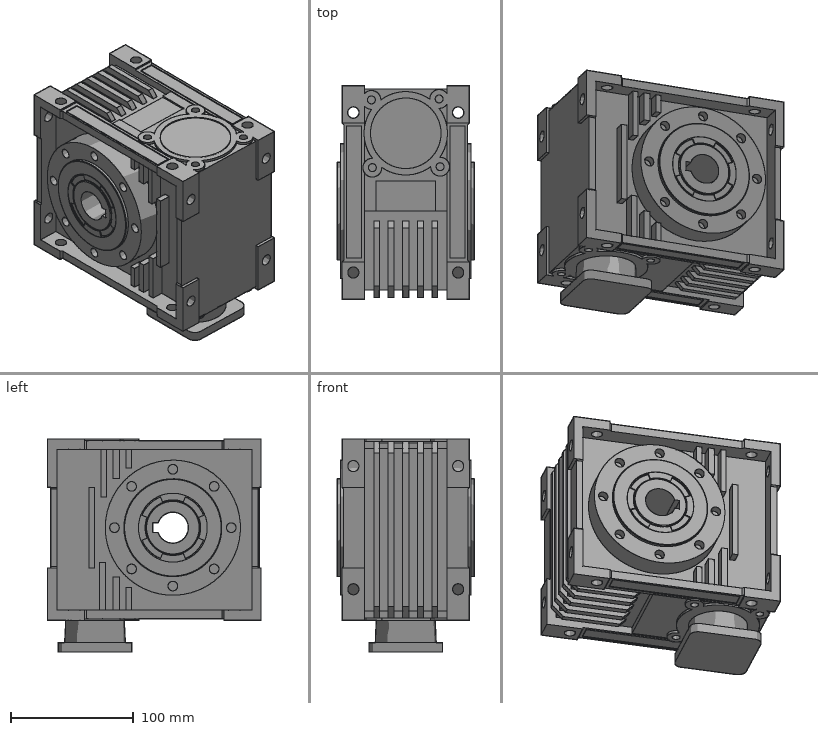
import cadquery as cq
import math


DIAGONALS = (45, 135, 225, 315)

FRONT_Y = -71.9
BACK_Y = 102.1
TOP_Z = 72.2
HOUSING_HEIGHT = 147.7
MID_Z = TOP_Z - HOUSING_HEIGHT / 2
FOOT_X = 51.9
FRAME_INNER_X = 33.4

RAIL_DROP_Z = 1.4
RAIL_DROP_Y = 2.6
FOOT_LENGTH = 30.5
FOOT_GAP_HALF_Z = 32.7
LEVEL_RAIL_RELIEF = 1.5
UPRIGHT_RAIL_RELIEF = 1.0
POCKET_FLOOR_X = 34.6
POCKET_FRONT_Y = -64.2
POCKET_BACK_Y = 94.1
POCKET_HALF_HEIGHT = 65.5
PANEL_INNER_X = 36.2
PANEL_OUTER_X = 48.2
PANEL_FRONT_Y = -38.0
PANEL_BACK_Y = 69.0
PANEL_DEPTH = 0.7
FOOT_HOLE_DIAMETER = 9.0
FOOT_HOLE_X = 42.6
LEVEL_HOLE_YS = (-50.0, 80.2)
UPRIGHT_HOLE_Z = 50.1

CORE_FRONT_Y = -64.2
CORE_BACK_Y = BACK_Y - RAIL_DROP_Y
CORE_DROP_Z = 2.1
CORE_HALF_HEIGHT = HOUSING_HEIGHT / 2 - CORE_DROP_Z
FIN_STEP_DEPTH = 5.5
FIN_DECK_HALF_HEIGHT = CORE_HALF_HEIGHT - FIN_STEP_DEPTH
PLATE_SEAT_HALF_WIDTH = 24.4
PLATE_SEAT_LENGTH = 24.7
PLATE_SEAT_DEPTH = 1.4

FIN_FRONT_Y = -70.5
FIN_BACK_Y = -8.2
FIN_BEVEL = 9.4
FINS = ((0, 5.0), (12.0, 5.0), (23.7, 4.4))

INPUT_Y = 63.3
RING_RADIUS = 34.0
RING_RECESS_RADIUS = 28.7
RING_RECESS_DEPTH = 0.9
LUG_CIRCLE_RADIUS = 39.0
LUG_TILT = 0.8
LUG_RADIUS = 7.7
LUG_HOLE_DIAMETER = 6.5
LUG_HOLE_DEPTH = 14.0

NECK_TOP_RADIUS = 24.0
NECK_BOTTOM_RADIUS = 24.9
PLATE_SIZE = 60.0
PLATE_CORNER_RADIUS = 7.1
PLATE_THICKNESS = 7.8
OVERALL_HEIGHT = 173.5
PLATE_BOTTOM_Z = TOP_Z - OVERALL_HEIGHT

DISC_RADIUS = 55.0
DISC_X = 53.2
HUB_RADIUS = 39.8
HUB_X = 56.0
HUB_CHAMFER = 0.5
BOLT_COUNT = 8
BOLT_CIRCLE_RADIUS = 47.5
BOLT_DIAMETER = 7.8
BOLT_DEPTH = 7.0
SEAL_OUTER_RADIUS = 28.0
SHAFT_RADIUS = 22.1
SHAFT_CLEARANCE = 0.5
SHAFT_CHAMFER = 0.7
SEAL_DEPTH = 0.3
SEAL_POCKET_RADIUS = 27.0
SEAL_POCKET_DEPTH = 1.0
SEAL_POCKET_ANGLE = 46
BORE_DIAMETER = 25.0
KEYWAY_WIDTH = 7.8
KEYWAY_REACH = 16.2

RIB_HEIGHT = 9.7
MIDDLE_RIB = (63.7, 68.4)
UPPER_RIBS = ((54.0, 58.3, 24.9), (43.3, 48.5, 39.8), (33.5, 38.0, 48.7))
LOWER_RIBS = ((54.6, 59.7, -28.4), (43.3, 48.5, -40.2), (33.5, 38.0, -48.7))


def block(x_range, y_range, z_range):
    """Box between the given limits."""
    lows, highs = zip(*(sorted(r) for r in (x_range, y_range, z_range)))
    sizes = [high - low for low, high in zip(lows, highs)]
    return cq.Workplane("XY").box(*sizes, centered=False).translate(lows)


def x_cylinder(radius, x_start, x_end):
    """Cylinder on the output shaft axis."""
    return cq.Workplane("YZ", origin=(x_start, 0, 0)).circle(radius).extrude(x_end - x_start)


def mid_z_range(half_height):
    """Height limits centred on the middle of the housing."""
    return (MID_Z - half_height, MID_Z + half_height)


def mirrored_low(shape):
    """Copy of a shape reflected through the housing's middle height."""
    return shape.mirror("XY", (0, 0, MID_Z))


def make_core():
    """Solid middle body, lowered at the front to make room for the fins."""
    half_x = (-FRAME_INNER_X, FRAME_INNER_X)
    rear = block(half_x, (0, CORE_BACK_Y), mid_z_range(CORE_HALF_HEIGHT))
    front = block(half_x, (CORE_FRONT_Y, 0), mid_z_range(FIN_DECK_HALF_HEIGHT))
    core_top = MID_Z + CORE_HALF_HEIGHT
    seat = block(
        (-PLATE_SEAT_HALF_WIDTH, PLATE_SEAT_HALF_WIDTH),
        (0, PLATE_SEAT_LENGTH),
        (core_top - PLATE_SEAT_DEPTH, core_top),
    )
    return rear.union(front).cut(seat)


def make_fins():
    """C-shaped fins wrapping over the top, front and bottom of the core."""
    upper = [
        (FIN_BACK_Y, FIN_DECK_HALF_HEIGHT),
        (FIN_BACK_Y - FIN_STEP_DEPTH, CORE_HALF_HEIGHT),
        (FIN_FRONT_Y + FIN_BEVEL, CORE_HALF_HEIGHT),
        (FIN_FRONT_Y, CORE_HALF_HEIGHT - FIN_BEVEL),
    ]
    lower = [(y, -z) for y, z in reversed(upper)]
    fins = cq.Workplane("XY")
    for offset, thickness in FINS:
        for x in sorted({-offset, offset}):
            profile = cq.Workplane("YZ", origin=(x, 0, MID_Z)).polyline(upper + lower).close()
            fins = fins.union(profile.extrude(thickness / 2, both=True))
    return fins


def relief(plane, start, end, depth):
    """Cutter that thins a rail between two feet, sloping at 45 degrees into each foot."""
    profile = [
        (FOOT_X, start),
        (FOOT_X - depth, start + depth),
        (FOOT_X - depth, end - depth),
        (FOOT_X, end),
    ]
    return cq.Workplane(plane).polyline(profile).close().extrude(HOUSING_HEIGHT, both=True)


def make_frame():
    """Side frame on the +X side: four rails with corner feet around a pocket."""
    bottom_z = TOP_Z - HOUSING_HEIGHT
    front_foot_end = FRONT_Y + FOOT_LENGTH
    back_foot_start = BACK_Y - FOOT_LENGTH
    frame_x = (FRAME_INNER_X, FOOT_X)

    frame = block(
        frame_x,
        (FRONT_Y + RAIL_DROP_Y, BACK_Y - RAIL_DROP_Y),
        (bottom_z + RAIL_DROP_Z, TOP_Z - RAIL_DROP_Z),
    )
    for y_range in ((FRONT_Y, front_foot_end), (back_foot_start, BACK_Y)):
        for z_range in ((FOOT_GAP_HALF_Z, TOP_Z), (bottom_z, -FOOT_GAP_HALF_Z)):
            frame = frame.union(block(frame_x, y_range, z_range))

    frame = frame.cut(relief("XY", front_foot_end, back_foot_start, LEVEL_RAIL_RELIEF))
    frame = frame.cut(relief("XZ", -FOOT_GAP_HALF_Z, FOOT_GAP_HALF_Z, UPRIGHT_RAIL_RELIEF))
    pocket_y = (POCKET_FRONT_Y, POCKET_BACK_Y)
    frame = frame.cut(block((POCKET_FLOOR_X, FOOT_X), pocket_y, mid_z_range(POCKET_HALF_HEIGHT)))

    rail_top = TOP_Z - RAIL_DROP_Z
    panel = block(
        (PANEL_INNER_X, PANEL_OUTER_X),
        (PANEL_FRONT_Y, PANEL_BACK_Y),
        (rail_top - PANEL_DEPTH, rail_top),
    )
    frame = frame.cut(panel).cut(mirrored_low(panel))

    level_holes = (
        cq.Workplane("XY", origin=(0, 0, bottom_z))
        .pushPoints([(FOOT_HOLE_X, y) for y in LEVEL_HOLE_YS])
        .circle(FOOT_HOLE_DIAMETER / 2)
        .extrude(HOUSING_HEIGHT)
    )
    upright_holes = (
        cq.Workplane("XZ", origin=(0, BACK_Y, 0))
        .pushPoints([(FOOT_HOLE_X, z) for z in (-UPRIGHT_HOLE_Z, UPRIGHT_HOLE_Z)])
        .circle(FOOT_HOLE_DIAMETER / 2)
        .extrude(BACK_Y - FRONT_Y)
    )
    return frame.cut(level_holes).cut(upright_holes)


def make_ribs():
    """Stiffening ribs standing on the floor of the +X pocket."""
    rib_x = (FRAME_INNER_X, POCKET_FLOOR_X + RIB_HEIGHT)
    low_z, high_z = mid_z_range(POCKET_HALF_HEIGHT)
    ribs = block(rib_x, MIDDLE_RIB, (-FOOT_GAP_HALF_Z, FOOT_GAP_HALF_Z))
    for wall_z, group in ((high_z, UPPER_RIBS), (low_z, LOWER_RIBS)):
        for y_start, y_end, free_z in group:
            ribs = ribs.union(block(rib_x, (y_start, y_end), (free_z, wall_z)))
    return ribs


def make_shaft_end():
    """Chamfered end of the output shaft, level with the hub."""
    return x_cylinder(SHAFT_RADIUS, FRAME_INNER_X, HUB_X).faces(">X").chamfer(SHAFT_CHAMFER)


def make_seal_cutter():
    """Shallow round recess for the seal, a gap around the shaft and four arc pockets."""
    seal_face_x = HUB_X - SEAL_DEPTH
    cutter = x_cylinder(SEAL_OUTER_RADIUS, seal_face_x, HUB_X)
    pocket_x = seal_face_x - SEAL_POCKET_DEPTH
    cutter = cutter.union(x_cylinder(SHAFT_RADIUS + SHAFT_CLEARANCE, pocket_x, seal_face_x))
    half_angle = math.radians(SEAL_POCKET_ANGLE / 2)
    tip = (
        2 * SEAL_POCKET_RADIUS * math.cos(half_angle),
        2 * SEAL_POCKET_RADIUS * math.sin(half_angle),
    )
    wedge = (
        cq.Workplane("YZ", origin=(pocket_x, 0, 0))
        .polyline([(0, 0), (tip[0], -tip[1]), tip])
        .close()
        .extrude(SEAL_POCKET_DEPTH)
    )
    disc = x_cylinder(SEAL_POCKET_RADIUS, pocket_x, seal_face_x)
    pocket = disc.intersect(wedge)
    for angle in DIAGONALS:
        cutter = cutter.union(pocket.rotate((0, 0, 0), (1, 0, 0), angle))
    return cutter


def make_output_flange():
    """Bolted disc with a raised hub and a sunken seal ring around the shaft, on the +X side."""
    disc = x_cylinder(DISC_RADIUS, FRAME_INNER_X, DISC_X)
    bolt_holes = (
        cq.Workplane("YZ", origin=(DISC_X, 0, 0))
        .polarArray(BOLT_CIRCLE_RADIUS, 0, 360, BOLT_COUNT)
        .circle(BOLT_DIAMETER / 2)
        .extrude(-BOLT_DEPTH)
    )
    hub = x_cylinder(HUB_RADIUS, FRAME_INNER_X, HUB_X).faces(">X").chamfer(HUB_CHAMFER)
    return disc.cut(bolt_holes).union(hub).cut(make_seal_cutter()).union(make_shaft_end())


def lug_points():
    """Lug centres in the XY plane, on a slightly turned square."""
    angles = [math.radians(diagonal + LUG_TILT) for diagonal in DIAGONALS]
    return [
        (LUG_CIRCLE_RADIUS * math.cos(a), INPUT_Y + LUG_CIRCLE_RADIUS * math.sin(a))
        for a in angles
    ]


def make_input_ring():
    """Raised ring with four lugs on top of the core."""
    base_z = MID_Z + FIN_DECK_HALF_HEIGHT
    height = TOP_Z - base_z
    ring = cq.Workplane("XY", origin=(0, INPUT_Y, base_z)).circle(RING_RADIUS).extrude(height)
    lugs = cq.Workplane("XY", origin=(0, 0, base_z)).pushPoints(lug_points()).circle(LUG_RADIUS)
    return ring.union(lugs.extrude(height))


def make_lug_holes():
    """Blind screw holes in the upper lugs."""
    start = cq.Workplane("XY", origin=(0, 0, TOP_Z)).pushPoints(lug_points())
    return start.circle(LUG_HOLE_DIAMETER / 2).extrude(-LUG_HOLE_DEPTH)


def make_input_neck():
    """Tapered neck below the housing, ending in a square plate with rounded corners."""
    plate_top = PLATE_BOTTOM_Z + PLATE_THICKNESS
    core_bottom = MID_Z - CORE_HALF_HEIGHT
    plate = (
        cq.Workplane("XY", origin=(0, INPUT_Y, PLATE_BOTTOM_Z))
        .rect(PLATE_SIZE, PLATE_SIZE)
        .extrude(PLATE_THICKNESS)
        .edges("|Z")
        .fillet(PLATE_CORNER_RADIUS)
    )
    neck = (
        cq.Workplane("XY", origin=(0, INPUT_Y, plate_top))
        .circle(NECK_BOTTOM_RADIUS)
        .workplane(offset=core_bottom - plate_top)
        .circle(NECK_TOP_RADIUS)
        .loft()
    )
    return plate.union(neck)


def make_shaft_bore():
    """Through bore with a keyway on its +Y side."""
    bore = x_cylinder(BORE_DIAMETER / 2, -HUB_X, HUB_X)
    half_key = KEYWAY_WIDTH / 2
    keyway = block((-HUB_X, HUB_X), (0, KEYWAY_REACH), (-half_key, half_key))
    return bore.union(keyway)


side = make_frame().union(make_ribs()).union(make_output_flange())
ring = make_input_ring()
lug_holes = make_lug_holes()
recess = (
    cq.Workplane("XY", origin=(0, INPUT_Y, TOP_Z))
    .circle(RING_RECESS_RADIUS)
    .extrude(-RING_RECESS_DEPTH)
)

result = make_core().union(make_fins()).union(side).union(side.mirror("YZ"))
result = result.union(ring).union(mirrored_low(ring)).union(make_input_neck())
result = result.cut(recess).cut(lug_holes).cut(mirrored_low(lug_holes)).cut(make_shaft_bore())